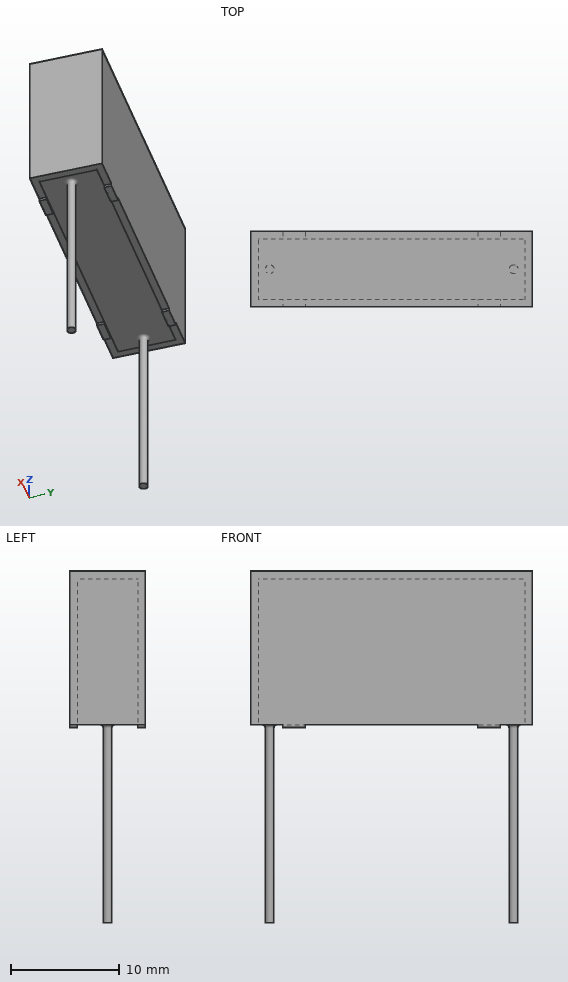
import cadquery as cq

total_height = 32.5
case_length = 26.0
case_width = 7.0
case_height = 14.2
wall = 0.7

foot_length = 2.08
foot_height = 0.25
foot_end_gap = 2.95

lead_diameter = 0.8
lead_pitch = 22.52
lead_fillet = 0.3

fill_length = case_length - 2 * wall
fill_width = case_width - 2 * wall
fill_height = case_height - wall
lead_length = total_height - case_height
foot_pitch_x = case_length - 2 * foot_end_gap - foot_length
foot_pitch_y = case_width - wall


def make_filled_core():
    """Block that fills the case, with two round leads filleted into its underside."""
    block = cq.Workplane("XY").rect(fill_length, fill_width).extrude(fill_height)
    leads = (
        cq.Workplane("XY")
        .pushPoints([(-lead_pitch / 2, 0), (lead_pitch / 2, 0)])
        .circle(lead_diameter / 2)
        .extrude(-lead_length)
    )
    core = block.union(leads)
    lead_roots = core.faces("<Z[1]").edges("%CIRCLE")
    return lead_roots.fillet(lead_fillet)


def make_case():
    """Rectangular case, open at the bottom, with four stand-off feet below its long walls."""
    shell = cq.Workplane("XY").rect(case_length, case_width).extrude(case_height)
    cavity = cq.Workplane("XY").rect(fill_length, fill_width).extrude(fill_height)
    feet = (
        cq.Workplane("XY")
        .rect(foot_pitch_x, foot_pitch_y, forConstruction=True)
        .vertices()
        .rect(foot_length, wall)
        .extrude(-foot_height)
    )
    return shell.cut(cavity).union(feet)


case = make_case()
filled_core = make_filled_core()

result = cq.Compound.makeCompound([case.solids().val(), filled_core.solids().val()])